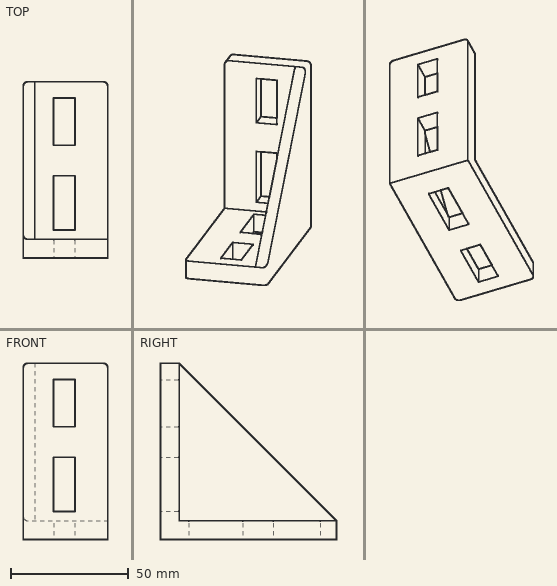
import cadquery as cq

width = 36.0
leg_length = 75.0

leg_thickness = 8.0
gusset_thickness = 5.0
corner_radius = 2.0

slot_width = 9.0
slot_side_offset = 13.0
slot_spans = [(12.0, 35.0), (48.0, 68.0)]


def make_legs():
    """Upright wall and floor meeting at a square heel."""
    floor = cq.Workplane("XY").box(width, leg_length, leg_thickness, centered=False)
    wall = cq.Workplane("XY").box(width, leg_thickness, leg_length, centered=False)
    return floor.union(wall)


def make_gusset():
    """Side plate at X = 0, sloping from the wall's top to the floor's far end."""
    return (
        cq.Workplane("YZ")
        .moveTo(0, 0)
        .lineTo(leg_length, 0)
        .lineTo(leg_length, leg_thickness)
        .lineTo(leg_thickness, leg_length)
        .lineTo(0, leg_length)
        .close()
        .extrude(gusset_thickness)
    )


def make_rounded_envelope():
    """Block with rounded corners at the free end of each leg."""
    block = cq.Workplane("XY").box(width, leg_length, leg_length, centered=False)
    wall_outline = block.faces(">Z").edges("|Y").fillet(corner_radius)
    floor_outline = block.faces(">Y").edges("|Z").fillet(corner_radius)
    return wall_outline.intersect(floor_outline)


def make_slots(start, end):
    """Cutters for one slot through the floor and its twin through the wall."""
    length = end - start
    floor_slot = (
        cq.Workplane("XY")
        .box(slot_width, length, leg_thickness, centered=False)
        .translate((slot_side_offset, start, 0))
    )
    wall_slot = (
        cq.Workplane("XY")
        .box(slot_width, leg_thickness, length, centered=False)
        .translate((slot_side_offset, 0, start))
    )
    return floor_slot.union(wall_slot)


bracket = make_legs().union(make_gusset()).intersect(make_rounded_envelope())
for span_start, span_end in slot_spans:
    bracket = bracket.cut(make_slots(span_start, span_end))

result = bracket